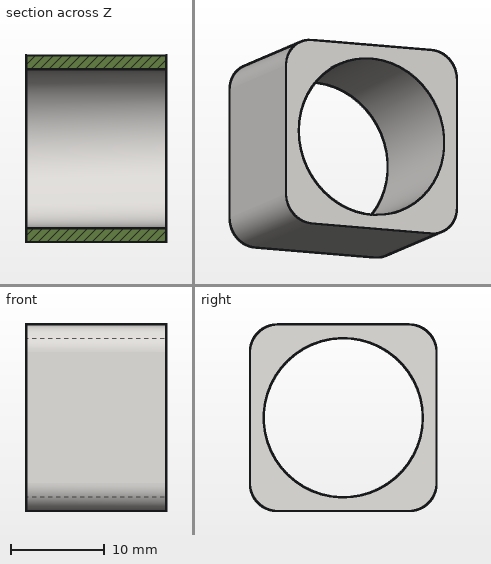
import cadquery as cq

side = 20.0
length = 15.0
corner_radius = 3.0
bore_diameter = 17.0

body = cq.Workplane("XY").box(length, side, side).edges("|X").fillet(corner_radius)

result = body.faces("<X").workplane(centerOption="CenterOfBoundBox").hole(bore_diameter)